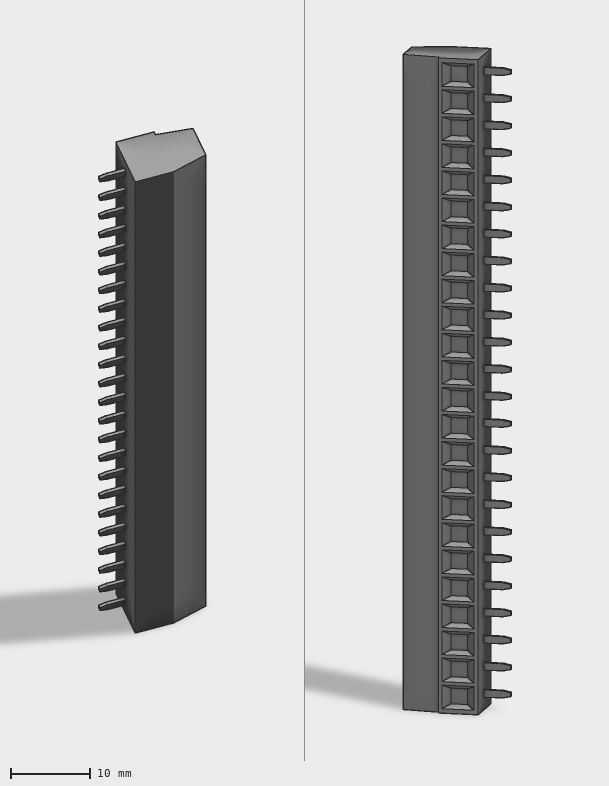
import cadquery as cq

length = 84.7
body_width = 7.3
body_height = 10.0
pin_length = 3.5

shoulder_height = 5.2
ledge_width = 0.5
left_slope_inset = 0.6
right_slope_inset = 1.35

pole_count = 24
end_pole_inset = 2.1
pole_pitch = (length - 2 * end_pole_inset) / (pole_count - 1)

entry_center_y = 2.6
entry_mouth_y = 4.15
entry_mouth_z = 3.05
entry_floor_y = 2.1
entry_floor_z = 2.0
entry_depth = 0.85

pin_center_x = 3.5
pin_thickness = 0.5
pin_width = 0.9
pin_tip_width = 0.5
pin_tip_length = 1.0

pole_z_positions = [end_pole_inset + i * pole_pitch for i in range(pole_count)]


def make_body():
    """Housing: a stepped, tapered profile extruded along Z."""
    profile = [
        (0, 0),
        (body_width, 0),
        (body_width, shoulder_height),
        (body_width - right_slope_inset, body_height),
        (ledge_width + left_slope_inset, body_height),
        (ledge_width, shoulder_height),
        (0, shoulder_height),
    ]
    return cq.Workplane("XY").polyline(profile).close().extrude(length)


def make_entry(z):
    """Funnel-shaped cutter of one wire entry, running in from the -X face."""
    return (
        cq.Workplane("YZ", origin=(0, entry_center_y, z))
        .rect(entry_mouth_y, entry_mouth_z)
        .workplane(offset=entry_depth)
        .rect(entry_floor_y, entry_floor_z)
        .loft(ruled=True)
    )


def make_pin(z):
    """Flat pin pointing in -Y below the body, with a tip that tapers in its width."""
    shank_end_y = pin_tip_length - pin_length
    outline = [
        (0, -pin_width / 2),
        (shank_end_y, -pin_width / 2),
        (-pin_length, -pin_tip_width / 2),
        (-pin_length, pin_tip_width / 2),
        (shank_end_y, pin_width / 2),
        (0, pin_width / 2),
    ]
    return (
        cq.Workplane("YZ", origin=(pin_center_x - pin_thickness / 2, 0, z))
        .polyline(outline)
        .close()
        .extrude(pin_thickness)
    )


result = make_body()
for pole_z in pole_z_positions:
    result = result.cut(make_entry(pole_z)).union(make_pin(pole_z))